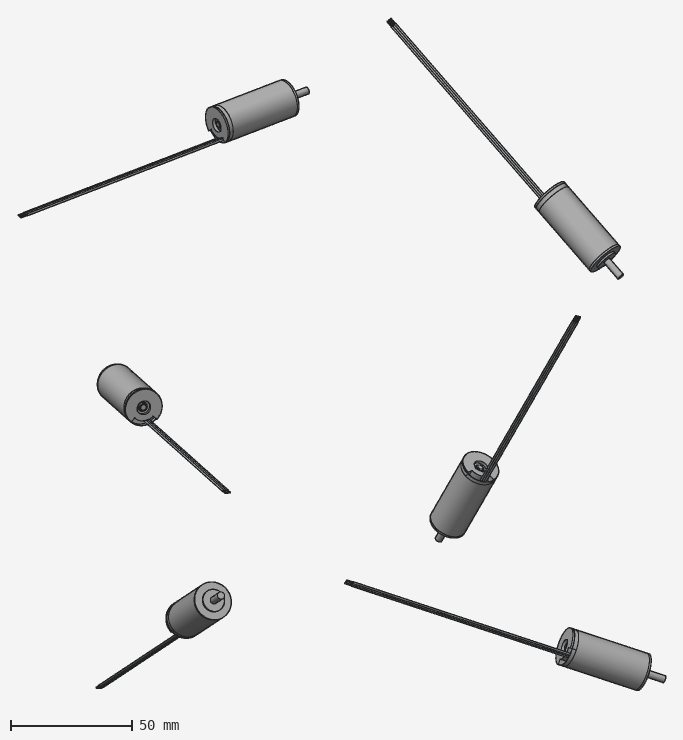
import cadquery as cq
import math

total_length = 147.0

motor_radius = 8.01
motor_length = 36.0
front_plate_thickness = 0.9
boss_radius = 4.7
boss_height = 0.9

flange_thickness = 0.9
plug_radius = 7.8
plug_length = 1.9

shaft_radius = 1.55
shaft_tip = 9.8
shaft_end_chamfer = 0.37

recess_radius = 3.0
recess_depth = 1.5
bore_radius = 1.98
shaft_end_depth = 0.6

window_inner_radius = 5.66
window_half_angle = 45.0

wire_count = 3
wire_diameter = 0.87
wire_group_center_x = 1.78
wire_center_z = -6.1
bare_end_length = 3.0
bare_end_diameter = 0.6

rear_face = -motor_length
housing_front = -front_plate_thickness
housing_rear = rear_face + flange_thickness
plug_end = housing_rear + plug_length
shaft_end = rear_face + shaft_end_depth
wire_end = shaft_tip - total_length


def cylinder(radius, y_start, y_end, x=0.0, z=0.0):
    plane = cq.Plane(origin=(x, y_start, z), xDir=(1, 0, 0), normal=(0, 1, 0))
    return cq.Workplane(plane).circle(radius).extrude(y_end - y_start)


def make_shaft():
    return cylinder(shaft_radius, shaft_end, shaft_tip).faces("<Y").chamfer(shaft_end_chamfer)


def make_front_plate():
    plate = cylinder(motor_radius, housing_front, 0)
    boss = cylinder(boss_radius, 0, boss_height)
    return plate.union(boss).cut(cylinder(shaft_radius, housing_front, boss_height))


def make_housing():
    body = cylinder(motor_radius, housing_rear, housing_front)
    plug_seat = cylinder(plug_radius, housing_rear, plug_end)
    shaft_hole = cylinder(shaft_radius, plug_end, housing_front)
    return body.cut(plug_seat).cut(shaft_hole)


def make_window():
    depth = plug_end - rear_face
    reach = 2 * motor_radius
    half_width = reach * math.tan(math.radians(window_half_angle))
    wedge = (
        cq.Workplane("XZ", origin=(0, rear_face, 0))
        .polyline([(0, 0), (-half_width, -reach), (half_width, -reach)])
        .close()
        .extrude(-depth)
    )
    return wedge.cut(cylinder(window_inner_radius, rear_face, plug_end))


def make_rear_cap():
    flange = cylinder(motor_radius, rear_face, housing_rear)
    plug = cylinder(plug_radius, housing_rear, plug_end)
    recess = cylinder(recess_radius, rear_face, rear_face + recess_depth)
    bore = cylinder(bore_radius, rear_face, plug_end)
    return flange.union(plug).cut(recess).cut(bore).cut(make_window())


def make_wire(x):
    insulation_end = wire_end + bare_end_length
    insulation = cylinder(wire_diameter / 2, insulation_end, plug_end, x, wire_center_z)
    bare_end = cylinder(bare_end_diameter / 2, wire_end, insulation_end, x, wire_center_z)
    return insulation.union(bare_end)


shaft = make_shaft()
front_plate = make_front_plate()
housing = make_housing()
rear_cap = make_rear_cap()

first_wire_x = wire_group_center_x - (wire_count - 1) / 2 * wire_diameter
wires = [make_wire(first_wire_x + i * wire_diameter) for i in range(wire_count)]

result = cq.Compound.makeCompound(
    [housing.val(), front_plate.val(), rear_cap.val(), shaft.val(), *[wire.val() for wire in wires]]
)